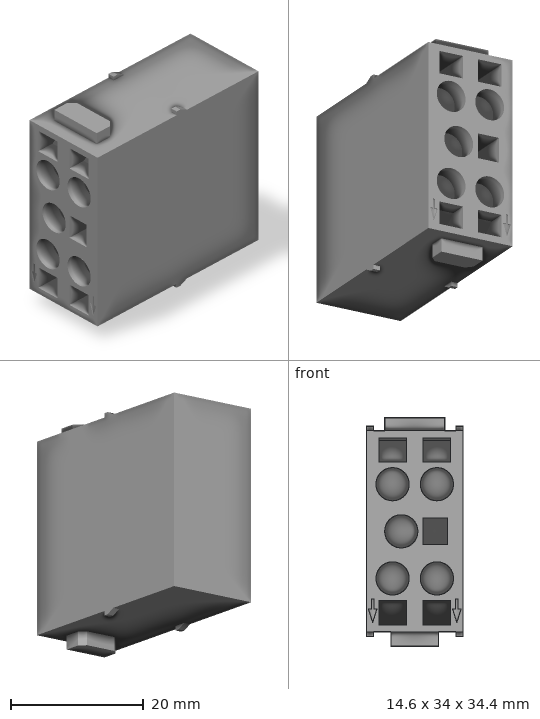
import cadquery as cq
import math

BODY_WIDTH = 14.6
BODY_DEPTH = 34.0
BODY_HEIGHT = 30.27
OVERALL_HEIGHT = 34.4
FRONT_Y = -BODY_DEPTH / 2
HALF_HEIGHT = BODY_HEIGHT / 2

TOP_TAB_WIDTH = 9.08
TOP_TAB_HEIGHT = 1.95
BOTTOM_TAB_WIDTH = 7.15
BOTTOM_TAB_HEIGHT = OVERALL_HEIGHT - BODY_HEIGHT - TOP_TAB_HEIGHT
TAB_SETBACK = 2.55
TAB_DEPTH = 3.75
TAB_CHAMFER = 1.0

LATCH_WIDTH = 1.1
LATCH_HEIGHT = 0.7
LATCH_SETBACK = 16.7
LATCH_FLAT = 0.8
LATCH_LENGTH = 2.2

CAVITY_DIAMETER = 5.0
CAVITY_DEPTH = 3.3
COLUMN_X = 3.35
CAVITY_ROW_Z = 7.1
MIDDLE_CAVITY_X = -2.03

WINDOW_WIDTH = 4.13
WINDOW_HEIGHT = 3.65
WINDOW_INNER_Z = 10.42
WINDOW_STRAIGHT_DEPTH = 3.0
TOP_WINDOW_END_WALL = 0.38
BOTTOM_WINDOW_END_WALL = 0.0
WINDOW_RAMP_ANGLE = 37.5

POCKET_WIDTH = 3.65
POCKET_HEIGHT = 4.02
POCKET_X = 3.1
POCKET_DEPTH = 6.25

ARROW_X = 6.33
ARROW_TOP_Z = -10.18
ARROW_SHAFT_LENGTH = 1.5
ARROW_SHAFT_WIDTH = 0.35
ARROW_HEAD_LENGTH = 2.0
ARROW_HEAD_WIDTH = 1.27
ARROW_DEPTH = 0.2


def extrude_side_profile(points, x_center, width):
    """Extrude a (Y, Z) outline along X, centred on x_center."""
    profile = cq.Workplane("YZ", origin=(x_center, 0, 0)).polyline(points).close()
    return profile.extrude(width / 2, both=True)


def front_face():
    """Workplane on the mating face; negative extrusion goes into the block."""
    return cq.Workplane("XZ", origin=(0, FRONT_Y, 0))


def coding_tab(width, height, z_base):
    """Upright tab with its two rear corners chamfered."""
    y_center = FRONT_Y + TAB_SETBACK + TAB_DEPTH / 2
    tab = cq.Workplane("XY").box(width, TAB_DEPTH, height, centered=(True, True, False))
    tab = tab.edges("|Z and >Y").chamfer(TAB_CHAMFER)
    return tab.translate((0, y_center, z_base))


def latch(x_side, z_side):
    """Wedge with a steep front, a short flat crest and a ramp towards the rear."""
    y_front = FRONT_Y + LATCH_SETBACK
    z_base = z_side * HALF_HEIGHT
    z_crest = z_side * (HALF_HEIGHT + LATCH_HEIGHT)
    outline = [
        (y_front, z_base),
        (y_front, z_crest),
        (y_front + LATCH_FLAT, z_crest),
        (y_front + LATCH_LENGTH, z_base),
    ]
    return extrude_side_profile(outline, x_side * (BODY_WIDTH - LATCH_WIDTH) / 2, LATCH_WIDTH)


def release_window(x_center, z_side, end_wall):
    """Solid for a rectangular window whose inner wall ramps outward behind a straight mouth."""
    y_ramp = FRONT_Y + WINDOW_STRAIGHT_DEPTH
    ramp_rise = WINDOW_HEIGHT - end_wall
    y_end = y_ramp + ramp_rise / math.tan(math.radians(WINDOW_RAMP_ANGLE))
    z_inner = z_side * WINDOW_INNER_Z
    z_outer = z_side * (WINDOW_INNER_Z + WINDOW_HEIGHT)
    outline = [
        (FRONT_Y, z_inner),
        (y_ramp, z_inner),
        (y_end, z_inner + z_side * ramp_rise),
    ]
    if end_wall > 0:
        outline.append((y_end, z_outer))
    outline.append((FRONT_Y, z_outer))
    return extrude_side_profile(outline, x_center, WINDOW_WIDTH)


def arrow(x_center):
    """Downward arrow, as a solid to be engraved in the mating face."""
    z_neck = ARROW_TOP_Z - ARROW_SHAFT_LENGTH
    half_shaft = ARROW_SHAFT_WIDTH / 2
    half_head = ARROW_HEAD_WIDTH / 2
    outline = [
        (x_center - half_shaft, ARROW_TOP_Z),
        (x_center + half_shaft, ARROW_TOP_Z),
        (x_center + half_shaft, z_neck),
        (x_center + half_head, z_neck),
        (x_center, z_neck - ARROW_HEAD_LENGTH),
        (x_center - half_head, z_neck),
        (x_center - half_shaft, z_neck),
    ]
    return front_face().polyline(outline).close().extrude(-ARROW_DEPTH)


result = cq.Workplane("XY").box(BODY_WIDTH, BODY_DEPTH, BODY_HEIGHT)
result = result.union(coding_tab(TOP_TAB_WIDTH, TOP_TAB_HEIGHT, HALF_HEIGHT))
result = result.union(coding_tab(BOTTOM_TAB_WIDTH, BOTTOM_TAB_HEIGHT, -HALF_HEIGHT - BOTTOM_TAB_HEIGHT))
for x_side in (-1, 1):
    for z_side in (-1, 1):
        result = result.union(latch(x_side, z_side))

cavity_centers = [(x, z) for x in (-COLUMN_X, COLUMN_X) for z in (-CAVITY_ROW_Z, CAVITY_ROW_Z)]
cavity_centers.append((MIDDLE_CAVITY_X, 0))
cavities = front_face().pushPoints(cavity_centers).circle(CAVITY_DIAMETER / 2).extrude(-CAVITY_DEPTH)
result = result.cut(cavities)

pocket = front_face().center(POCKET_X, 0).rect(POCKET_WIDTH, POCKET_HEIGHT).extrude(-POCKET_DEPTH)
result = result.cut(pocket)

for x_side in (-1, 1):
    result = result.cut(release_window(x_side * COLUMN_X, 1, TOP_WINDOW_END_WALL))
    result = result.cut(release_window(x_side * COLUMN_X, -1, BOTTOM_WINDOW_END_WALL))
    result = result.cut(arrow(x_side * ARROW_X))